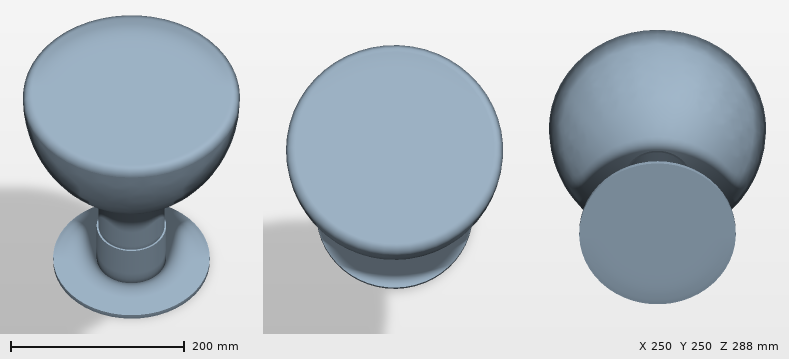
import cadquery as cq
import math

total_height = 288.0
bowl_radius = 125.0

base_radius = 90.0
base_thickness = 5.8
collar_radius = 40.0
collar_top = 60.5
stem_radius = 38.0
stem_top = 136.5

neck_radius = 40.0
rim_radius = 10.0
rim_height = total_height - rim_radius


def cylinder(radius, bottom, top):
    """Upright cylinder on the Z axis between two heights."""
    return cq.Workplane("XY").workplane(offset=bottom).circle(radius).extrude(top - bottom)


def bowl():
    """Solid bowl whose side arc is vertical where it meets the rim."""
    side_rise = rim_height - stem_top
    side_flare = bowl_radius - neck_radius
    side_radius = (side_flare**2 + side_rise**2) / (2 * side_flare)
    side_centre = bowl_radius - side_radius
    half_angle = math.asin(side_rise / side_radius) / 2
    side_middle = (
        side_centre + side_radius * math.cos(half_angle),
        rim_height - side_radius * math.sin(half_angle),
    )
    rim_centre = bowl_radius - rim_radius
    rim_offset = rim_radius * math.sqrt(0.5)
    rim_middle = (rim_centre + rim_offset, rim_height + rim_offset)

    profile = (
        cq.Workplane("XZ")
        .moveTo(0, stem_top)
        .lineTo(neck_radius, stem_top)
        .threePointArc(side_middle, (bowl_radius, rim_height))
        .threePointArc(rim_middle, (rim_centre, total_height))
        .lineTo(0, total_height)
        .close()
    )
    return profile.revolve(360, (0, 0, 0), (0, 1, 0))


base = cylinder(base_radius, 0, base_thickness)
collar = cylinder(collar_radius, base_thickness, collar_top)
stem = cylinder(stem_radius, collar_top, stem_top)

result = base.union(collar).union(stem).union(bowl())